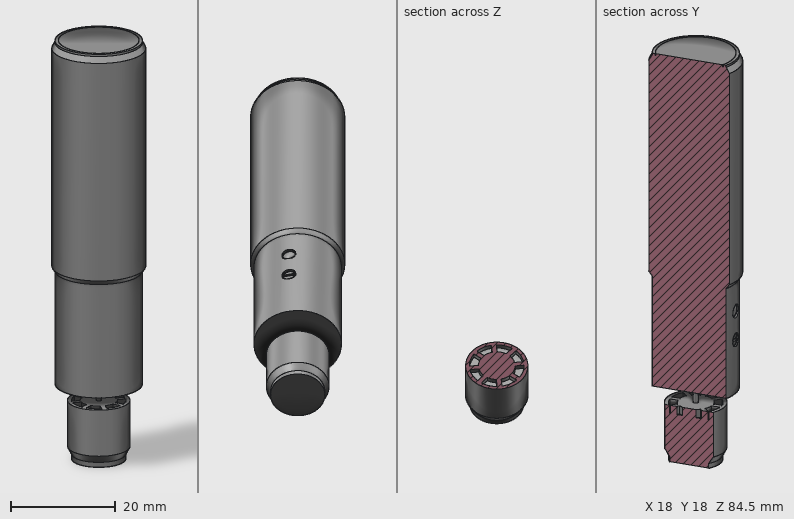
import cadquery as cq

total_height = 84.5
tip_height = 1.0
connector_cone_top = 2.5
connector_top = 11.8
housing_bottom = 15.1
neck_top = 38.0
barrel_bottom = 38.95
barrel_top = 82.9
rim_height = 0.4

tip_diameter = 10.4
connector_diameter = 12.0
neck_diameter = 16.7
barrel_diameter = 18.0

lens_diameter = 15.4
lens_seat_diameter = 15.5
lens_gap_depth = 0.4

recess_diameter = tip_diameter
recess_depth = 1.7
hub_diameter = 7.1
rib_width = 1.0
rib_count = 8

core_diameter = 1.0

opening_diameter = 2.7
insert_diameter = 2.4
opening_depth = 0.4
indicator_height = 32.2
screw_height = 26.2
indicator_recess = 0.3
indicator_dome_height = 0.3
screw_recess = 0.25
slot_width = 0.5
slot_depth = 0.4

neck_radius = neck_diameter / 2


def cylinder(diameter, bottom, top):
    """Upright cylinder on the Z axis."""
    return cq.Workplane("XY").workplane(offset=bottom).circle(diameter / 2).extrude(top - bottom)


def side_cylinder(diameter, height, depth_from, depth_to):
    """Cylinder along X at a given height, between two depths below the -X side of the neck."""
    plane = cq.Workplane("YZ", origin=(depth_from - neck_radius, 0, height))
    return plane.circle(diameter / 2).extrude(depth_to - depth_from)


def make_housing():
    """Turned barrel and neck, with conical shoulders and a short rim at the top."""
    profile = [
        (0, housing_bottom),
        (neck_radius, housing_bottom),
        (neck_radius, neck_top),
        (barrel_diameter / 2, barrel_bottom),
        (barrel_diameter / 2, barrel_top),
        (neck_radius, total_height - rim_height),
        (neck_radius, total_height),
        (0, total_height),
    ]
    housing = cq.Workplane("XZ").polyline(profile).close().revolve(360, (0, 0), (0, 1))
    gap_bottom = total_height - lens_gap_depth
    lens = cylinder(lens_diameter, gap_bottom, total_height)
    lens_gap = cylinder(lens_seat_diameter, gap_bottom, total_height).cut(lens)
    return housing.cut(lens_gap)


def make_connector():
    """Turned connector sleeve with a tapered lower end and a ribbed upper recess."""
    profile = [
        (0, 0),
        (tip_diameter / 2, 0),
        (tip_diameter / 2, tip_height),
        (connector_diameter / 2, connector_cone_top),
        (connector_diameter / 2, connector_top),
        (0, connector_top),
    ]
    connector = cq.Workplane("XZ").polyline(profile).close().revolve(360, (0, 0), (0, 1))
    recess_bottom = connector_top - recess_depth
    recess = cylinder(recess_diameter, recess_bottom, connector_top)
    recess = recess.cut(cylinder(hub_diameter, recess_bottom, connector_top))
    bar = (
        cq.Workplane("XY")
        .workplane(offset=recess_bottom)
        .rect(recess_diameter, rib_width)
        .extrude(recess_depth)
    )
    for index in range(rib_count // 2):
        recess = recess.cut(bar.rotate((0, 0, 0), (0, 0, 1), index * 360 / rib_count))
    return connector.cut(recess)


def add_indicator(body):
    """Domed lamp standing in a round opening."""
    body = body.cut(side_cylinder(opening_diameter, indicator_height, -0.85, opening_depth))
    insert_radius = insert_diameter / 2
    dome_base = indicator_recess - neck_radius
    lamp = (
        cq.Workplane("XZ", origin=(0, 0, indicator_height))
        .moveTo(opening_depth - neck_radius, 0)
        .lineTo(opening_depth - neck_radius, insert_radius)
        .lineTo(dome_base, insert_radius)
        .radiusArc((dome_base - indicator_dome_height, 0), -dome_radius(insert_radius))
        .close()
        .revolve(360, (0, 0), (1, 0))
    )
    return body.union(lamp)


def dome_radius(base_radius):
    """Sphere radius of the lamp's domed end."""
    return (base_radius**2 + indicator_dome_height**2) / (2 * indicator_dome_height)


def add_screw(body):
    """Slotted screw head sunk in a round opening."""
    body = body.cut(side_cylinder(opening_diameter, screw_height, -0.85, opening_depth))
    screw = side_cylinder(insert_diameter, screw_height, screw_recess, opening_depth)
    slot = cq.Workplane("XY").box(slot_depth, insert_diameter, slot_width)
    slot = slot.translate((screw_recess + slot_depth / 2 - neck_radius, 0, screw_height))
    return body.union(screw).cut(slot)


housing = add_screw(add_indicator(make_housing()))
core = cylinder(core_diameter, connector_top - recess_depth, housing_bottom)
result = housing.union(core).union(make_connector())